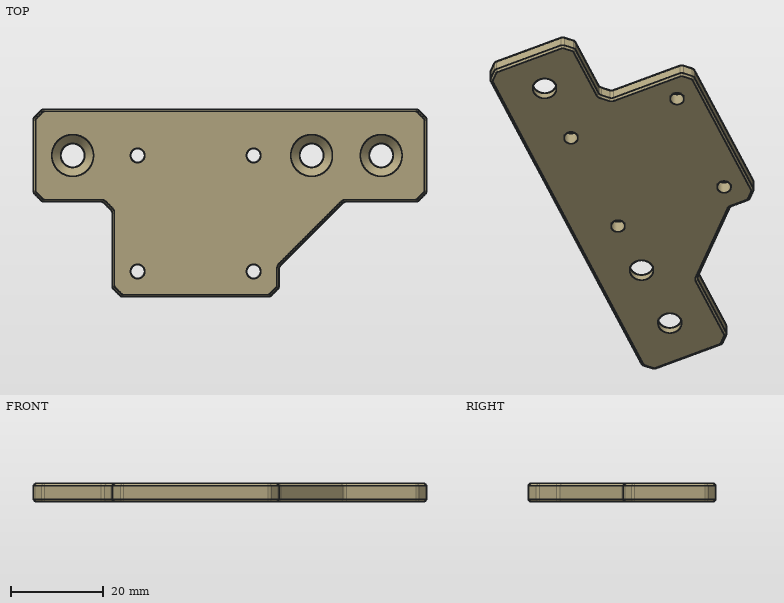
import cadquery as cq

thickness = 4.0
bar_length = 84.81
bar_width = 20.0
total_width = 40.5
corner_chamfer = 2.0
corner_blend_radius = 1.0
edge_chamfer = 0.5

small_hole_diameter = 3.0
small_hole_spacing = 25.0
small_hole_margin = 5.5
small_hole_left_x = 22.5

screw_hole_diameter = 5.1
countersink_diameter = 9.0
countersink_angle = 90.0
screw_hole_x_positions = (8.5, 60.0, 75.0)

hole_row_y = -bar_width / 2

tab_left = small_hole_left_x - small_hole_margin
tab_right = small_hole_left_x + small_hole_spacing + small_hole_margin
slope_run = 14.0


def make_plate():
    """Bar and tab with bevelled, softened corners and chamfered rims."""
    cut = corner_chamfer
    outline = [
        (cut, 0),
        (bar_length - cut, 0),
        (bar_length, -cut),
        (bar_length, -bar_width + cut),
        (bar_length - cut, -bar_width),
        (tab_right + slope_run, -bar_width),
        (tab_right, -bar_width - slope_run),
        (tab_right, -total_width + cut),
        (tab_right - cut, -total_width),
        (tab_left + cut, -total_width),
        (tab_left, -total_width + cut),
        (tab_left, -bar_width - cut),
        (tab_left - cut, -bar_width),
        (cut, -bar_width),
        (0, -bar_width + cut),
        (0, -cut),
    ]
    plate = cq.Workplane("XY").polyline(outline).close().extrude(thickness)
    plate = plate.edges("|Z").fillet(corner_blend_radius)
    return plate.faces("<Z or >Z").edges().chamfer(edge_chamfer)


def on_top_face(plate):
    """Workplane on the top of the plate, keeping the plate's X and Y origin."""
    return plate.faces(">Z").workplane(origin=(0, 0, thickness))


def drill_small_holes(plate):
    """Four plain through holes at the corners of a square."""
    centers = [
        (small_hole_left_x + column * small_hole_spacing, hole_row_y - row * small_hole_spacing)
        for column in range(2)
        for row in range(2)
    ]
    return on_top_face(plate).pushPoints(centers).hole(small_hole_diameter)


def drill_screw_holes(plate):
    """Through holes countersunk from the top face."""
    centers = [(x, hole_row_y) for x in screw_hole_x_positions]
    return on_top_face(plate).pushPoints(centers).cskHole(
        screw_hole_diameter, countersink_diameter, countersink_angle
    )


result = drill_screw_holes(drill_small_holes(make_plate()))